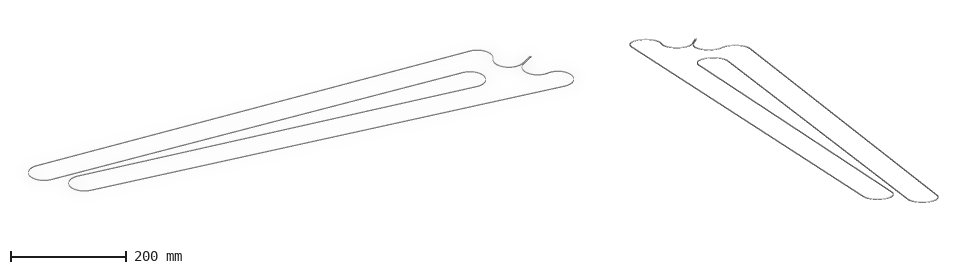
import cadquery as cq
import math

strip_height = 2.1
strip_thickness = 1.2
bend_radius = 27.0
lead_gap = 1.0
overall_x = 688.0
overall_y = 782.0
pitch = 79.0
shoulder_depth = 48.0
inner_bend_x = -55.0
inner_bend_y = -120.5

LEFT_TURN = 1
RIGHT_TURN = -1
DOWN = -math.pi / 2
UP = math.pi / 2

lead_x = (strip_thickness + lead_gap) / 2
outer_radius = bend_radius + strip_thickness / 2
neck_x = lead_x + bend_radius
neck_y = -shoulder_depth + math.sqrt((2 * bend_radius) ** 2 - (pitch - neck_x) ** 2)
lower_left_x = pitch + 2 * outer_radius - overall_x
lower_y = outer_radius - overall_y

bends = [
    (-neck_x, neck_y, RIGHT_TURN),
    (-pitch, -shoulder_depth, LEFT_TURN),
    (lower_left_x, lower_y, LEFT_TURN),
    (inner_bend_x, inner_bend_y, RIGHT_TURN),
    (lower_left_x + pitch, lower_y, LEFT_TURN),
    (pitch, -shoulder_depth, LEFT_TURN),
    (neck_x, neck_y, RIGHT_TURN),
]


def tangent_heading(bend, following):
    """Heading of the straight that leaves one bend and runs into the next."""
    dx = following[0] - bend[0]
    dy = following[1] - bend[1]
    sideways = (bend[2] - following[2]) * bend_radius / math.hypot(dx, dy)
    return math.atan2(dy, dx) + math.asin(max(-1.0, min(1.0, sideways)))


def point_on_bend(bend, heading):
    """Point of the bend where the strip travels along the given heading."""
    x, y, turn = bend
    return (
        x + turn * bend_radius * math.sin(heading),
        y - turn * bend_radius * math.cos(heading),
    )


def strip_path():
    """Centreline from the left lead tip through every bend to the right lead tip."""
    joins = [tangent_heading(a, b) for a, b in zip(bends, bends[1:])]
    headings = [DOWN] + joins + [UP]
    path = cq.Workplane("XY").moveTo(-lead_x, 0)
    position = (-lead_x, 0)
    shortest_straight = 0.01
    for bend, heading_in, heading_out in zip(bends, headings, headings[1:]):
        turn = bend[2]
        sweep = (turn * (heading_out - heading_in)) % (2 * math.pi)
        start = point_on_bend(bend, heading_in)
        middle = point_on_bend(bend, heading_in + turn * sweep / 2)
        end = point_on_bend(bend, heading_out)
        if math.dist(position, start) > shortest_straight:
            path = path.lineTo(*start)
        path = path.threePointArc(middle, end)
        position = end
    return path.lineTo(lead_x, 0)


section = cq.Workplane("XZ", origin=(-lead_x, 0, 0)).rect(strip_thickness, strip_height)
result = section.sweep(strip_path())